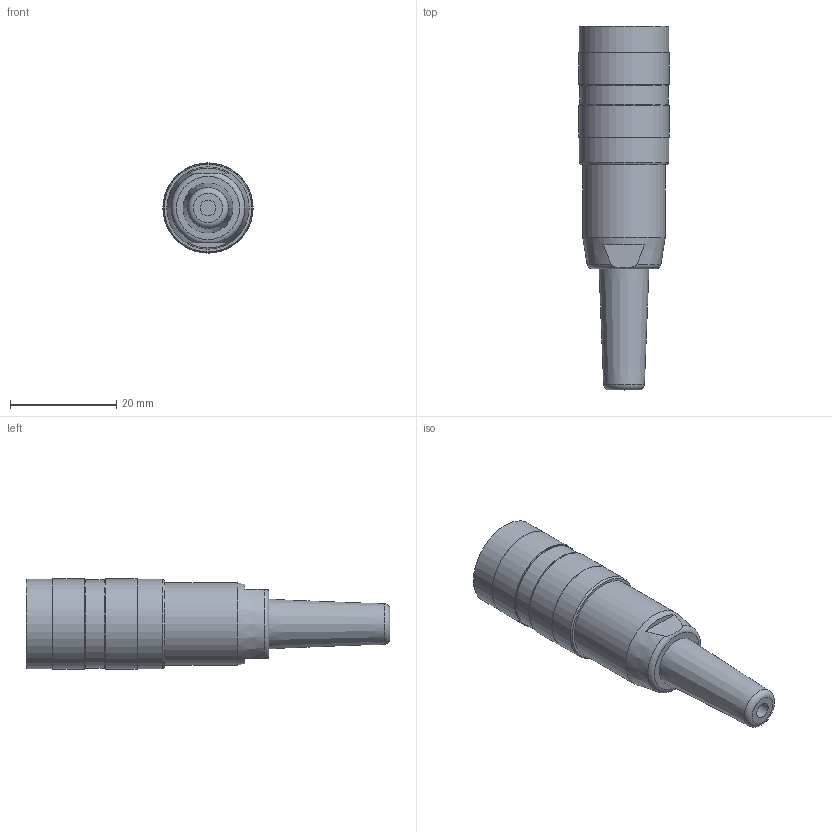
import cadquery as cq


SLEEVE_DIAMETER = 16.9
SLEEVE_LENGTH = 26.1
SLEEVE_CHAMFER_LENGTH = 0.4
SLEEVE_CHAMFER_DEPTH = 0.2
RING_DIAMETER = 17.0
RING_WIDTH = 6.0
RING_STATIONS = (5.0, 14.9)
GROOVE_DIAMETER = 16.6
GROOVE_LAND = 0.2

BODY_DIAMETER = 15.5
TAPER_START = 39.8
BODY_END = 45.7
BODY_END_DIAMETER = 13.6
BODY_FILLET = 1.0
FLATS_WIDTH = 13.0
FLATS_START = 41.2

TOTAL_LENGTH = 68.5
BOOT_BASE_DIAMETER = 9.4
BOOT_TIP_DIAMETER = 7.6
BOOT_FILLET = 1.1
CABLE_HOLE_DIAMETER = 3.0


def frustum(start, end, start_diameter, end_diameter):
    """Solid of revolution about Y between two stations."""
    return (
        cq.Workplane("XY")
        .moveTo(0, -start)
        .lineTo(start_diameter / 2, -start)
        .lineTo(end_diameter / 2, -end)
        .lineTo(0, -end)
        .close()
        .revolve(360, (0, 0), (0, 1))
    )


def cylinder(start, end, diameter):
    return frustum(start, end, diameter, diameter)


def coupling_sleeve():
    chamfer_start = SLEEVE_LENGTH - SLEEVE_CHAMFER_LENGTH
    chamfer_diameter = SLEEVE_DIAMETER - 2 * SLEEVE_CHAMFER_DEPTH
    groove_start = RING_STATIONS[0] + RING_WIDTH + GROOVE_LAND
    groove_end = RING_STATIONS[1] - GROOVE_LAND

    sleeve = cylinder(0, groove_start, SLEEVE_DIAMETER)
    sleeve = sleeve.union(cylinder(groove_start, groove_end, GROOVE_DIAMETER))
    sleeve = sleeve.union(cylinder(groove_end, chamfer_start, SLEEVE_DIAMETER))
    sleeve = sleeve.union(frustum(chamfer_start, SLEEVE_LENGTH, SLEEVE_DIAMETER, chamfer_diameter))
    for station in RING_STATIONS:
        sleeve = sleeve.union(cylinder(station, station + RING_WIDTH, RING_DIAMETER))
    return sleeve


def wrench_flat_cutter(side):
    """Block that removes everything outside one wrench flat; side is +1 or -1 along Z."""
    flat_length = BODY_END - FLATS_START
    return cq.Workplane("XY").box(BODY_DIAMETER, flat_length, BODY_DIAMETER).translate(
        (0, -(FLATS_START + BODY_END) / 2, side * (FLATS_WIDTH + BODY_DIAMETER) / 2)
    )


def rear_body():
    body = frustum(TAPER_START, BODY_END, BODY_DIAMETER, BODY_END_DIAMETER)
    body = body.faces("<Y").edges().fillet(BODY_FILLET)
    body = body.union(cylinder(SLEEVE_LENGTH, TAPER_START, BODY_DIAMETER))
    for side in (1, -1):
        body = body.cut(wrench_flat_cutter(side))
    return body


def cable_boot():
    boot = frustum(BODY_END, TOTAL_LENGTH, BOOT_BASE_DIAMETER, BOOT_TIP_DIAMETER)
    boot = boot.faces("<Y").edges().fillet(BOOT_FILLET)
    hole = cylinder(BODY_END, TOTAL_LENGTH, CABLE_HOLE_DIAMETER)
    return boot.cut(hole)


result = coupling_sleeve().union(rear_body()).union(cable_boot())